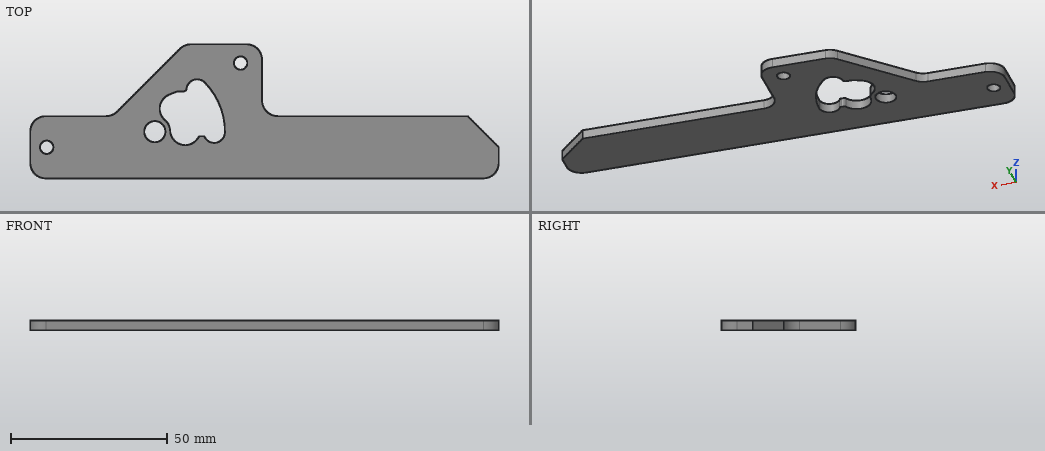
import cadquery as cq
import math

LENGTH = 150.0
HEIGHT = 43.0
THICKNESS = 3.2
ARM_HEIGHT = 20.0
TOWER_RIGHT = 74.25
TOWER_TOP_LEFT = 49.4
END_CHAMFER = 10.0
CORNER_RADIUS = 5.0

PIVOT = (39.9, 15.0)
PIVOT_DIAMETER = 6.7
SMALL_HOLE_DIAMETER = 4.2
SMALL_HOLES = [(5.3, 10.0), (67.35, 36.95)]

INNER_SLOT_RADIUS = 9.75
INNER_SLOT_WIDTH = 9.6
INNER_SLOT_START = 3.0
INNER_SLOT_END = 49.0
OUTER_SLOT_RADIUS = 19.0
OUTER_SLOT_WIDTH = 6.8
OUTER_SLOT_START = -0.5
OUTER_SLOT_END = 44.5

BRIDGE_LOWER_Y = -1.4
BRIDGE_UPPER_Y = 12.85
BRIDGE_BEND_ANGLE = 22.0
BRIDGE_BEND_RADIUS = 3.0

LOWER_CUSPS = [(14.2, BRIDGE_LOWER_Y), (15.8, BRIDGE_LOWER_Y)]
LOWER_CUSP_RADIUS = 0.6
UPPER_CUSPS = [(10.2, BRIDGE_UPPER_Y)]
UPPER_CUSP_RADIUS = 1.0


def around_pivot(radius, angle):
    """Point at a polar position around the pivot hole."""
    turn = math.radians(angle)
    return (PIVOT[0] + radius * math.cos(turn), PIVOT[1] + radius * math.sin(turn))


def offset_from_pivot(points):
    """Points given relative to the pivot, moved to the plate's coordinates."""
    return [(PIVOT[0] + x, PIVOT[1] + y) for x, y in points]


def sector(inner_radius, outer_radius, start, end):
    """Ring sector around the pivot, as thick as the plate."""
    middle = (start + end) / 2
    return (
        cq.Workplane("XY")
        .moveTo(*around_pivot(inner_radius, start))
        .lineTo(*around_pivot(outer_radius, start))
        .threePointArc(around_pivot(outer_radius, middle), around_pivot(outer_radius, end))
        .lineTo(*around_pivot(inner_radius, end))
        .threePointArc(around_pivot(inner_radius, middle), around_pivot(inner_radius, start))
        .close()
        .extrude(THICKNESS)
    )


def arc_slot(radius, width, start, end):
    """Round-ended slot that follows an arc around the pivot."""
    slot = sector(radius - width / 2, radius + width / 2, start, end)
    ends = [around_pivot(radius, start), around_pivot(radius, end)]
    return slot.union(cq.Workplane("XY").pushPoints(ends).circle(width / 2).extrude(THICKNESS))


def round_edges(body, points, radius):
    """Fillet the upright edge nearest to each point."""
    for x, y in points:
        nearest = cq.selectors.NearestToPointSelector((x, y, THICKNESS / 2))
        body = body.edges("|Z").edges(nearest).fillet(radius)
    return body


def make_plate():
    """Long arm with a tower whose left flank rises at 45 degrees."""
    flank_foot = TOWER_TOP_LEFT - (HEIGHT - ARM_HEIGHT)
    bottom_corners = [(0, 0), (LENGTH, 0)]
    chamfer_corners = [
        (LENGTH, ARM_HEIGHT - END_CHAMFER),
        (LENGTH - END_CHAMFER, ARM_HEIGHT),
    ]
    upper_corners = [
        (TOWER_RIGHT, ARM_HEIGHT),
        (TOWER_RIGHT, HEIGHT),
        (TOWER_TOP_LEFT, HEIGHT),
        (flank_foot, ARM_HEIGHT),
        (0, ARM_HEIGHT),
    ]
    outline = bottom_corners + chamfer_corners + upper_corners
    plate = cq.Workplane("XY").polyline(outline).close().extrude(THICKNESS)
    return round_edges(plate, bottom_corners + upper_corners, CORNER_RADIUS)


def make_bridge():
    """Prism that joins the two slots; its right side lies inside the outer slot."""
    slot_end_x, slot_end_y = around_pivot(INNER_SLOT_RADIUS, INNER_SLOT_END)
    bend = math.radians(BRIDGE_BEND_ANGLE)
    end_radius = INNER_SLOT_WIDTH / 2
    tangent_point = (slot_end_x - end_radius * math.sin(bend), slot_end_y + end_radius * math.cos(bend))
    lower_y = PIVOT[1] + BRIDGE_LOWER_Y
    upper_y = PIVOT[1] + BRIDGE_UPPER_Y
    bend_corner = (tangent_point[0] + (upper_y - tangent_point[1]) / math.tan(bend), upper_y)
    outline = [
        (PIVOT[0] + INNER_SLOT_RADIUS, lower_y),
        (around_pivot(OUTER_SLOT_RADIUS, OUTER_SLOT_START)[0], lower_y),
        (around_pivot(OUTER_SLOT_RADIUS, OUTER_SLOT_END)[0], upper_y),
        bend_corner,
        tangent_point,
    ]
    bridge = cq.Workplane("XY").polyline(outline).close().extrude(THICKNESS)
    return round_edges(bridge, [bend_corner], BRIDGE_BEND_RADIUS)


def make_window():
    """Cutter for the window, with the cusps between its lobes rounded."""
    inner_slot = arc_slot(INNER_SLOT_RADIUS, INNER_SLOT_WIDTH, INNER_SLOT_START, INNER_SLOT_END)
    outer_slot = arc_slot(OUTER_SLOT_RADIUS, OUTER_SLOT_WIDTH, OUTER_SLOT_START, OUTER_SLOT_END)
    window = inner_slot.union(outer_slot).union(make_bridge()).clean()
    window = round_edges(window, offset_from_pivot(LOWER_CUSPS), LOWER_CUSP_RADIUS)
    return round_edges(window, offset_from_pivot(UPPER_CUSPS), UPPER_CUSP_RADIUS)


def make_holes():
    """Cutters for the pivot hole and the two small holes."""
    pivot_hole = cq.Workplane("XY").center(*PIVOT).circle(PIVOT_DIAMETER / 2).extrude(THICKNESS)
    small_holes = (
        cq.Workplane("XY").pushPoints(SMALL_HOLES).circle(SMALL_HOLE_DIAMETER / 2).extrude(THICKNESS)
    )
    return pivot_hole.union(small_holes)


result = make_plate().cut(make_window()).cut(make_holes())